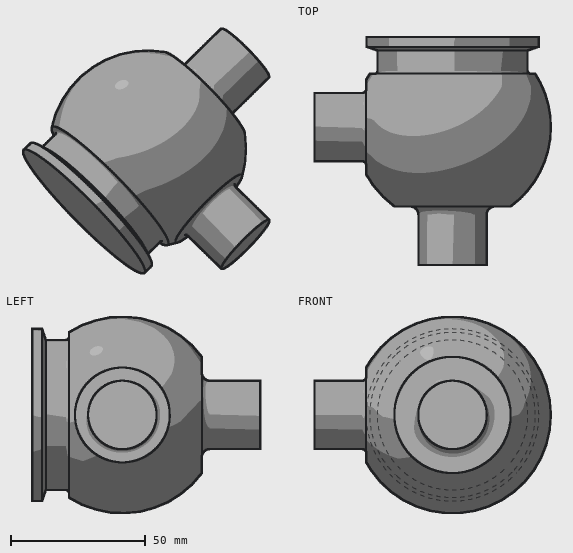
import cadquery as cq
import math

overall_length = 87.7
overall_depth = 84.6

ball_radius = 73.0 / 2
left_flat = 32.0
front_flat = 29.5
back_flat = 19.8

pipe_radius = 12.7
pipe_reach = overall_length - ball_radius
left_blend = 1.4
front_blend = 3.0

ferrule_end = overall_depth - pipe_reach
neck_radius = 27.9
neck_blend = 1.0
flange_radius = 32.0
rim_thickness = 3.7
taper_length = 1.4


def chord(distance):
    """Radius of the circle a flat at this distance cuts from the ball."""
    return math.sqrt(ball_radius**2 - distance**2)


def ball():
    """Ball revolved about Y between its front and back flats, then cut by the -X flat."""
    profile = (
        cq.Workplane("XY")
        .moveTo(0, -front_flat)
        .lineTo(chord(front_flat), -front_flat)
        .threePointArc((ball_radius, 0), (chord(back_flat), back_flat))
        .lineTo(0, back_flat)
        .close()
    )
    trimmed = profile.revolve(360, (0, 0, 0), (0, 1, 0))
    cutter_size = 2 * ball_radius
    cutter = cq.Workplane("XY").box(cutter_size, cutter_size, cutter_size)
    return trimmed.cut(cutter.translate((-left_flat - ball_radius, 0, 0)))


def pipe(flat, blend):
    """Pipe along -Y whose root flares in a concave arc onto its flat."""
    profile = (
        cq.Workplane("XY")
        .moveTo(0, 0)
        .lineTo(0, -pipe_reach)
        .lineTo(pipe_radius, -pipe_reach)
        .lineTo(pipe_radius, -flat - blend)
        .radiusArc((pipe_radius + blend, -flat), blend)
        .lineTo(pipe_radius + blend, 0)
        .close()
    )
    return profile.revolve(360, (0, 0, 0), (0, 1, 0))


def ferrule():
    """Neck with a blended root and a taper-backed flange."""
    rim_start = ferrule_end - rim_thickness
    profile = (
        cq.Workplane("XY")
        .moveTo(0, 0)
        .lineTo(neck_radius + neck_blend, 0)
        .lineTo(neck_radius + neck_blend, back_flat)
        .radiusArc((neck_radius, back_flat + neck_blend), neck_blend)
        .lineTo(neck_radius, rim_start - taper_length)
        .lineTo(flange_radius, rim_start)
        .lineTo(flange_radius, ferrule_end)
        .lineTo(0, ferrule_end)
        .close()
    )
    return profile.revolve(360, (0, 0, 0), (0, 1, 0))


front_pipe = pipe(front_flat, front_blend)
left_pipe = pipe(left_flat, left_blend).rotate((0, 0, 0), (0, 0, 1), -90)
result = ball().union(ferrule()).union(front_pipe).union(left_pipe)